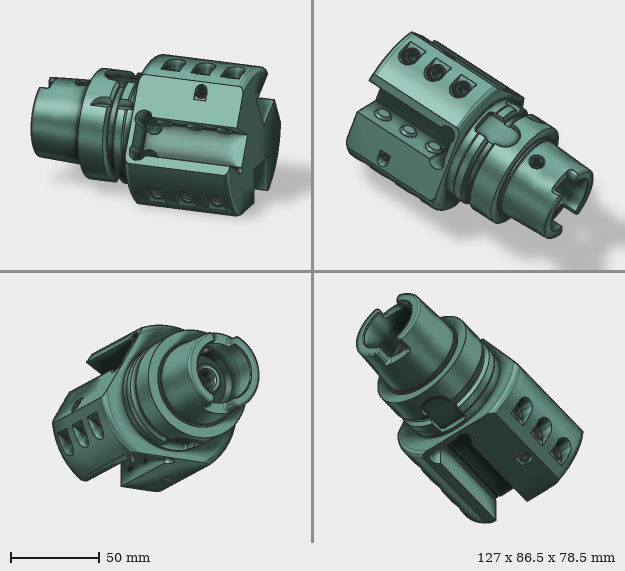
import cadquery as cq
import math


SHANK_LENGTH = 32.0
SHANK_FRONT_RADIUS = 22.7
SHANK_BASE_RADIUS = 24.15
SHANK_NOSE_ROUND = 1.2
RELIEF_WIDTH = 2.0
RELIEF_RADIUS = 23.8
FACE_GROOVE_RADIUS = 25.1
FACE_GROOVE_DEPTH = 0.5

BORE_MOUTH_RADIUS = 17.6
BORE_RADIUS = 17.0
BORE_MOUTH_CHAMFER = 0.6
BORE_LAND_END_X = -19.0
UNDERCUT_RADIUS = 18.5
BORE_FLOOR_X = -4.0
BORE_FLOOR_RADIUS = 15.7
SPIGOT_RADIUS = 9.1
SPIGOT_TIP_X = -11.5
SPIGOT_CHAMFER = 0.9
SPIGOT_HOLE_RADIUS = 5.0
SPIGOT_HOLE_CHAMFER = 1.0
SPIGOT_HOLE_DEPTH = 10.0
SPIGOT_PILOT_RADIUS = 4.0
SPIGOT_PILOT_DEPTH = 8.0
DRILL_POINT_SLOPE = math.tan(math.radians(30))

KEYWAY_WIDTH = 12.54
KEYWAY_TOP_LENGTH = 6.3
KEYWAY_BOTTOM_LENGTH = 10.1
KEYWAY_END_ROUND = 1.5
KEYWAY_MOUTH_ROUND = 1.0
KEYWAY_FLARE_RADIUS = 3.0
KEYWAY_FLARE_START_Z = 17.9
ACCESS_HOLE_X = -8.8
ACCESS_HOLE_DIAMETER = 7.5
ACCESS_HOLE_CHAMFER = 0.75

FLANGE_RADIUS = 31.5
FLANGE_END_X = 26.0
NECK_RADIUS = 31.0
NECK_START_X = 27.0
GROOVE_CENTRE_X = 18.125
GROOVE_FLOOR_WIDTH = 3.75
GROOVE_RADIUS = 27.5
GROOVE_BEVEL_HEIGHT = 2.5
GROOVE_BEVEL_WIDTH = GROOVE_BEVEL_HEIGHT * math.tan(math.radians(30))
SLOT_START_X = 5.0
SLOT_END_X = 30.2
SLOT_CORNER_ROUND = 2.0
NOTCH_START_X = 4.0
NOTCH_CORNER_ROUND = 3.2
NOTCH_WIDTH = 16.0
TOP_SLOT_WIDTH = 16.0
BOTTOM_SLOT_WIDTH = 18.0
SLOT_FLOOR_HEIGHT = 26.5
NOTCH_OFFSET = 20.0

BODY_START_X = 32.0
BODY_END_X = 95.0
BODY_RADIUS = 43.5
BODY_END_ROUND = 3.0
FLAT_DISTANCE = 35.0
STATIONS = 3

TOOL_SLOT_START_X = 35.0
TOOL_SLOT_SCREW_WALL_Y = -2.0
TOOL_SLOT_SEAT_WALL_Y = 20.2
TOOL_SLOT_DEPTH = 20.0
CORNER_HOLE_X = 39.0
CORNER_HOLE_RADIUS = 5.0
CORNER_HOLE_OFFSETS_Y = (-0.6, 18.4)
CORNER_HOLE_DEPTH = 21.4
SEAT_RELIEF_RADIUS = 2.0
SEAT_RELIEF_Y = 18.7
SEAT_RELIEF_HEIGHT = 0.9

SCREW_FIRST_X = 48.0
SCREW_PITCH = 18.0
SCREW_COUNT = 3
SCREW_Z = -23.9
SCREW_RADIUS = 5.0
SCREW_TIP_RADIUS = 3.75
SCREW_TIP_LENGTH = 1.75
SCREW_POCKET_WIDTH = 11.0
SCREW_POCKET_FLOOR_Y = -30.8
SOCKET_RADIUS = 2.9
SOCKET_MOUTH_RADIUS = 3.75
SOCKET_DEPTH = 6.0
SCREW_HEAD_HEIGHT = 0.7

COOLANT_X = 70.0
COOLANT_TILT = 30.0
COOLANT_POCKET_WIDTH = 7.0
COOLANT_FLOOR_DISTANCE = 37.9
COOLANT_SCREW_RADIUS = 3.0
COOLANT_HEAD_HEIGHT = 0.5
COOLANT_SOCKET_RADIUS = 1.73
COOLANT_SOCKET_MOUTH_RADIUS = 2.0
COOLANT_SOCKET_DEPTH = 3.0


def box(x_range, y_range, z_range):
    """Axis-aligned box from its three coordinate ranges."""
    size = [high - low for low, high in (x_range, y_range, z_range)]
    corner = (x_range[0], y_range[0], z_range[0])
    return cq.Workplane("XY").box(*size, centered=False).translate(corner)


def revolve_about_x(points):
    """Solid of revolution from (x, radius) points."""
    return cq.Workplane("XY").polyline(points).close().revolve(360, (0, 0, 0), (1, 0, 0))


def revolve_along(points, origin, direction):
    """Solid of revolution from (radius, distance) points along any axis."""
    solid = cq.Workplane("XZ").polyline(points).close().revolve(360, (0, 0, 0), (0, 1, 0))
    plane = cq.Plane(origin=origin, xDir=(1, 0, 0), normal=direction)
    return cq.Workplane(obj=solid.val().moved(cq.Location(plane)))


def shank():
    nose_x = -SHANK_LENGTH
    outside = revolve_about_x([
        (nose_x, 0),
        (nose_x, SHANK_FRONT_RADIUS),
        (-RELIEF_WIDTH, SHANK_BASE_RADIUS),
        (-RELIEF_WIDTH / 2, RELIEF_RADIUS),
        (FACE_GROOVE_DEPTH, RELIEF_RADIUS),
        (FACE_GROOVE_DEPTH, 0),
    ])
    return outside.faces("<X").edges().fillet(SHANK_NOSE_ROUND)


def shank_bore():
    """Stepped bore, leaving the coolant spigot standing on its floor."""
    nose_x = -SHANK_LENGTH
    cavity = revolve_about_x([
        (nose_x, 0),
        (nose_x, BORE_MOUTH_RADIUS),
        (nose_x + BORE_MOUTH_CHAMFER, BORE_RADIUS),
        (BORE_LAND_END_X, BORE_RADIUS),
        (BORE_FLOOR_X - (UNDERCUT_RADIUS - BORE_FLOOR_RADIUS), UNDERCUT_RADIUS),
        (BORE_FLOOR_X, BORE_FLOOR_RADIUS),
        (BORE_FLOOR_X, SPIGOT_RADIUS),
        (SPIGOT_TIP_X + SPIGOT_CHAMFER, SPIGOT_RADIUS),
        (SPIGOT_TIP_X, SPIGOT_RADIUS - SPIGOT_CHAMFER),
        (SPIGOT_TIP_X, 0),
    ])
    step_x = SPIGOT_TIP_X + SPIGOT_HOLE_DEPTH
    pilot_x = step_x + SPIGOT_PILOT_DEPTH
    hole = revolve_about_x([
        (SPIGOT_TIP_X, 0),
        (SPIGOT_TIP_X, SPIGOT_HOLE_RADIUS + SPIGOT_HOLE_CHAMFER),
        (SPIGOT_TIP_X + SPIGOT_HOLE_CHAMFER, SPIGOT_HOLE_RADIUS),
        (step_x, SPIGOT_HOLE_RADIUS),
        (step_x, SPIGOT_PILOT_RADIUS),
        (pilot_x, SPIGOT_PILOT_RADIUS),
        (pilot_x + SPIGOT_PILOT_RADIUS * DRILL_POINT_SLOPE, 0),
    ])
    return cavity.union(hole)


def flange():
    half_floor = GROOVE_FLOOR_WIDTH / 2
    groove_start = GROOVE_CENTRE_X - half_floor
    groove_end = GROOVE_CENTRE_X + half_floor
    bevel_radius = FLANGE_RADIUS - GROOVE_BEVEL_HEIGHT
    return revolve_about_x([
        (0, FACE_GROOVE_RADIUS),
        (0, FLANGE_RADIUS),
        (groove_start - GROOVE_BEVEL_WIDTH, FLANGE_RADIUS),
        (groove_start, bevel_radius),
        (groove_start, GROOVE_RADIUS),
        (groove_end, GROOVE_RADIUS),
        (groove_end, bevel_radius),
        (groove_end + GROOVE_BEVEL_WIDTH, FLANGE_RADIUS),
        (FLANGE_END_X, FLANGE_RADIUS),
        (NECK_START_X, NECK_RADIUS),
        (BODY_START_X, NECK_RADIUS),
        (BODY_START_X, 0),
        (FACE_GROOVE_DEPTH, 0),
        (FACE_GROOVE_DEPTH, FACE_GROOVE_RADIUS),
    ])


def body():
    """Cylinder with rounded ends, cut by three flats at 120 degrees."""
    length = BODY_END_X - BODY_START_X
    cylinder = cq.Workplane("YZ").workplane(offset=BODY_START_X).circle(BODY_RADIUS).extrude(length)
    cylinder = cylinder.edges().fillet(BODY_END_ROUND)
    triangle_diameter = 4 * FLAT_DISTANCE
    triangle = (
        cq.Workplane("YZ")
        .workplane(offset=BODY_START_X)
        .transformed(rotate=(0, 0, 90))
        .polygon(3, triangle_diameter)
        .extrude(length)
    )
    return cylinder.intersect(triangle)


def keyway(length):
    """Drive keyway on the +Z side, flared outwards and rounded at its end."""
    half = KEYWAY_WIDTH / 2
    flare_half = half + KEYWAY_FLARE_RADIUS
    flare_z = KEYWAY_FLARE_START_Z + KEYWAY_FLARE_RADIUS
    slot = (
        cq.Workplane("YZ")
        .workplane(offset=-SHANK_LENGTH)
        .moveTo(-half, 0)
        .lineTo(-half, KEYWAY_FLARE_START_Z)
        .radiusArc((-flare_half, flare_z), -KEYWAY_FLARE_RADIUS)
        .lineTo(-flare_half, FLANGE_RADIUS)
        .lineTo(flare_half, FLANGE_RADIUS)
        .lineTo(flare_half, flare_z)
        .radiusArc((half, KEYWAY_FLARE_START_Z), -KEYWAY_FLARE_RADIUS)
        .lineTo(half, 0)
        .close()
        .extrude(length)
    )
    slot = slot.faces(">X").edges("not |Y").fillet(KEYWAY_END_ROUND)
    clear_x = -SHANK_LENGTH - 1
    outside = box((clear_x, -SHANK_LENGTH), (-FLANGE_RADIUS, FLANGE_RADIUS), (0, FLANGE_RADIUS))
    mouth_edges = cq.selectors.BoxSelector(
        (clear_x + 0.5, -FLANGE_RADIUS / 2, 0.5),
        (clear_x + 1.5, FLANGE_RADIUS / 2, FLANGE_RADIUS - 0.5),
    )
    return slot.union(outside).edges(mouth_edges).fillet(KEYWAY_MOUTH_ROUND)


def access_hole():
    """Radial hole through the +Z wall of the shank, chamfered outside."""
    radius = ACCESS_HOLE_DIAMETER / 2
    surface_z = SHANK_BASE_RADIUS
    rim = radius + ACCESS_HOLE_CHAMFER
    points = [
        (0, SPIGOT_RADIUS),
        (radius, SPIGOT_RADIUS),
        (radius, surface_z - 2 * ACCESS_HOLE_CHAMFER),
        (rim, surface_z - ACCESS_HOLE_CHAMFER),
        (rim, surface_z + 1),
        (0, surface_z + 1),
    ]
    return revolve_along(points, (ACCESS_HOLE_X, 0, 0), (0, 0, 1))


def flange_slot(width, centre_y, floor_z, start_x=SLOT_START_X, corner_round=SLOT_CORNER_ROUND):
    """Milled slot on the +Z side with a full round end towards the shank."""
    half = width / 2
    y_range = (centre_y - half, centre_y + half)
    top_z = FLANGE_RADIUS + 1
    round_x = start_x + half
    straight = box((round_x, SLOT_END_X), y_range, (floor_z, top_z))
    straight = straight.faces(">X").edges("|Z").fillet(corner_round)
    round_end = (
        cq.Workplane("XY")
        .workplane(offset=floor_z)
        .center(round_x, centre_y)
        .circle(half)
        .extrude(top_z - floor_z)
    )
    return straight.union(round_end)


def orientation_notch():
    """Corner notch between +Z and -Y, open to the outside of the flange."""
    centre_y = -NOTCH_OFFSET - NOTCH_WIDTH / 2
    return flange_slot(NOTCH_WIDTH, centre_y, NOTCH_OFFSET, NOTCH_START_X, NOTCH_CORNER_ROUND)


def tool_slot():
    floor_z = TOOL_SLOT_DEPTH - FLAT_DISTANCE
    slot = box(
        (TOOL_SLOT_START_X, BODY_END_X),
        (TOOL_SLOT_SCREW_WALL_Y, TOOL_SLOT_SEAT_WALL_Y),
        (-FLAT_DISTANCE, floor_z),
    )
    hole_profile = [
        (0, 0),
        (CORNER_HOLE_RADIUS, 0),
        (CORNER_HOLE_RADIUS, CORNER_HOLE_DEPTH),
        (0, CORNER_HOLE_DEPTH + CORNER_HOLE_RADIUS * DRILL_POINT_SLOPE),
    ]
    for y in CORNER_HOLE_OFFSETS_Y:
        slot = slot.union(revolve_along(hole_profile, (CORNER_HOLE_X, y, -FLAT_DISTANCE), (0, 0, 1)))
    seat_relief = (
        cq.Workplane("YZ")
        .workplane(offset=TOOL_SLOT_START_X)
        .center(SEAT_RELIEF_Y, floor_z - SEAT_RELIEF_HEIGHT)
        .circle(SEAT_RELIEF_RADIUS)
        .extrude(BODY_END_X - TOOL_SLOT_START_X)
    )
    return slot.union(seat_relief)


def screw_pocket(width, floor, outer_end, head):
    """Spot-faced pocket about local Z, open towards local +Y, round a screw head."""
    half = width / 2
    pocket = cq.Workplane("XY").workplane(offset=floor).circle(half).extrude(outer_end - floor)
    pocket = pocket.union(box((-half, half), (0, BODY_RADIUS), (floor, outer_end)))
    return pocket.cut(revolve_along(head, (0, 0, 0), (0, 0, 1)))


def screw_head(radius, floor, height):
    """Bevelled screw end standing on the pocket floor."""
    return [(0, floor), (radius, floor), (radius - height, floor + height), (0, floor + height)]


def socket(mouth_radius, radius, top, depth):
    """Screw socket with a bevelled mouth and a conical bottom."""
    bottom = top - depth
    return revolve_along([
        (0, top),
        (mouth_radius, top),
        (radius, top - (mouth_radius - radius)),
        (radius, bottom),
        (0, bottom - radius * DRILL_POINT_SLOPE),
    ], (0, 0, 0), (0, 0, 1))


def clamping_screw_pocket():
    """Pocket and screw socket, axis along local Z, open towards local +Y."""
    floor = -SCREW_POCKET_FLOOR_Y
    head = screw_head(SCREW_RADIUS, floor, SCREW_HEAD_HEIGHT)
    pocket = screw_pocket(SCREW_POCKET_WIDTH, floor, BODY_RADIUS, head)
    top = floor + SCREW_HEAD_HEIGHT
    return pocket.union(socket(SOCKET_MOUTH_RADIUS, SOCKET_RADIUS, top, SOCKET_DEPTH))


def clamping_screw_tip():
    """Conical screw point standing out of the slot wall along local -Z."""
    wall = -TOOL_SLOT_SCREW_WALL_Y
    return revolve_along([
        (0, wall + 1),
        (SCREW_RADIUS, wall + 1),
        (SCREW_RADIUS, wall),
        (SCREW_TIP_RADIUS, wall - SCREW_TIP_LENGTH),
        (0, wall - SCREW_TIP_LENGTH),
    ], (0, 0, 0), (0, 0, 1))


def coolant_screw_pocket():
    """Pocket and screw socket, axis along local Z, open towards local +Y."""
    floor = COOLANT_FLOOR_DISTANCE
    head = screw_head(COOLANT_SCREW_RADIUS, floor, COOLANT_HEAD_HEIGHT)
    pocket = screw_pocket(COOLANT_POCKET_WIDTH, floor, BODY_RADIUS + 1, head)
    top = floor + COOLANT_HEAD_HEIGHT
    return pocket.union(socket(COOLANT_SOCKET_MOUTH_RADIUS, COOLANT_SOCKET_RADIUS, top, COOLANT_SOCKET_DEPTH))


def machine_station(part, angle):
    """Cut one tool station into the part at the given angle about X."""
    def placed(tool):
        return tool.rotate((0, 0, 0), (1, 0, 0), angle)

    part = part.cut(placed(tool_slot()))
    for index in range(SCREW_COUNT):
        origin = (SCREW_FIRST_X + index * SCREW_PITCH, 0, SCREW_Z)
        axis = cq.Location(cq.Plane(origin=origin, xDir=(-1, 0, 0), normal=(0, -1, 0)))
        part = part.cut(placed(cq.Workplane(obj=clamping_screw_pocket().val().moved(axis))))
        part = part.union(placed(cq.Workplane(obj=clamping_screw_tip().val().moved(axis))))
    tilt = math.radians(COOLANT_TILT)
    direction = (0, -math.sin(tilt), -math.cos(tilt))
    axis = cq.Location(cq.Plane(origin=(COOLANT_X, 0, 0), xDir=(-1, 0, 0), normal=direction))
    return part.cut(placed(cq.Workplane(obj=coolant_screw_pocket().val().moved(axis))))


def upside_down(tool):
    return tool.rotate((0, 0, 0), (1, 0, 0), 180)


holder = flange().union(shank()).union(body())
holder = holder.cut(shank_bore())
holder = holder.cut(keyway(KEYWAY_TOP_LENGTH))
holder = holder.cut(upside_down(keyway(KEYWAY_BOTTOM_LENGTH)))
holder = holder.cut(access_hole())
holder = holder.cut(flange_slot(TOP_SLOT_WIDTH, 0, SLOT_FLOOR_HEIGHT))
holder = holder.cut(upside_down(flange_slot(BOTTOM_SLOT_WIDTH, 0, SLOT_FLOOR_HEIGHT)))
holder = holder.cut(orientation_notch())
for station in range(STATIONS):
    holder = machine_station(holder, station * 360 / STATIONS)

result = holder